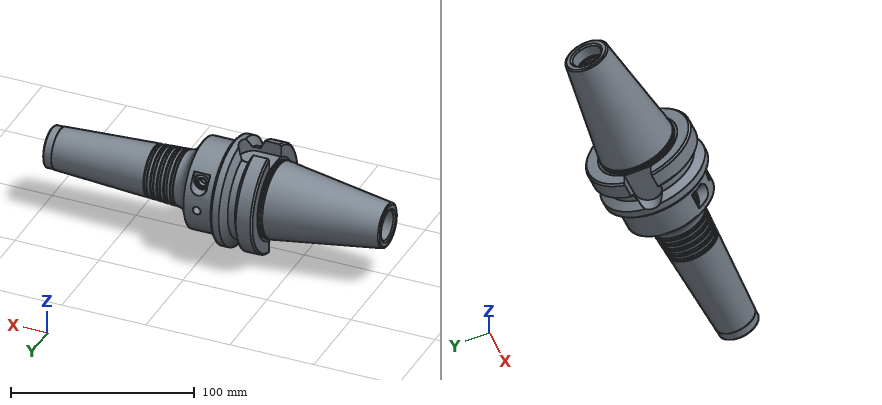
import cadquery as cq
import math

total_length = 200.5
gauge_x = 65.3
flange_front_x = 67.3
flange_back_x = 92.5
body_end_x = 110.2
shoulder_end_x = 114.2
nose_start_x = 120.6
tip_start_x = 195.2

flange_dia = 63.0
body_dia = 52.5
gauge_dia = 44.5
neck_dia = 43.5
tip_dia = 24.0
bore_dia = 5.0

taper_per_length = 7 / 24
taper_end_chamfer = 0.6
taper_end_chamfer_height = 1.0
taper_end_dia = gauge_dia - taper_per_length * (gauge_x - taper_end_chamfer)

relief_end_x = 66.5
face_recess_dia = 47.5
face_recess_depth = 0.2

flange_front_chamfer = 1.0
vee_start_x = 76.8
vee_end_x = 87.0
vee_half_angle = math.radians(30)
vee_run = (flange_dia - body_dia) / 2 * math.tan(vee_half_angle)
flange_back_chamfer = 1.5
body_fillet = 2.8

nose_angle = math.radians(3)
tip_chamfer = 0.6
nose_tip_radius = 12.2
nose_root_radius = nose_tip_radius + (tip_start_x - nose_start_x) * math.tan(nose_angle)
shoulder_end_radius = 19.8

groove_count = 5
groove_pitch = 4.0
first_groove_x = 122.0
groove_width = 2.2
groove_floor_width = 1.2
groove_depth = 0.5

socket_mouth_dia = 19.0
socket_mouth_chamfer = 0.8
pilot_dia = 17.0
pilot_depth = 7.5
thread_dia = 16.0
thread_core_dia = 14.0
thread_start_x = 8.6
thread_lead_in = 0.6
thread_end_x = 32.0
drill_half_angle = math.radians(59)

slot_width = 16.0
slot_floor_z = 22.6
slot_centre_x = 80.4

pocket_x = 102.5
pocket_z = -12.6
pocket_width = 9.6
pocket_floor_y = -18.6
screw_dia = 9.0
screw_face_dia = 5.8
screw_dome_height = 1.6
socket_dia = 4.6
socket_depth = 3.0
side_hole_dia = 4.6
side_hole_z = 1.5
side_hole_depth = 5.0
side_hole_tilt = 25.0


def make_body():
    """Revolve the outer profile about the X axis."""
    flange_radius = flange_dia / 2
    body_radius = body_dia / 2
    tip_radius = tip_dia / 2
    recess_floor_x = flange_front_x + face_recess_depth
    taper_end_radius = taper_end_dia / 2
    fillet_middle = body_fillet * (1 - math.sin(math.radians(45)))
    profile = (
        cq.Workplane("XY")
        .moveTo(0, 0)
        .lineTo(0, taper_end_radius - taper_end_chamfer_height)
        .lineTo(taper_end_chamfer, taper_end_radius)
        .lineTo(gauge_x, gauge_dia / 2)
        .lineTo(gauge_x, neck_dia / 2)
        .lineTo(relief_end_x, neck_dia / 2)
        .lineTo(relief_end_x, gauge_dia / 2)
        .lineTo(recess_floor_x, gauge_dia / 2)
        .lineTo(recess_floor_x, face_recess_dia / 2)
        .lineTo(flange_front_x, face_recess_dia / 2)
        .lineTo(flange_front_x, flange_radius - flange_front_chamfer)
        .lineTo(flange_front_x + flange_front_chamfer, flange_radius)
        .lineTo(vee_start_x, flange_radius)
        .lineTo(vee_start_x + vee_run, body_radius)
        .lineTo(vee_end_x - vee_run, body_radius)
        .lineTo(vee_end_x, flange_radius)
        .lineTo(flange_back_x - flange_back_chamfer, flange_radius)
        .lineTo(flange_back_x, flange_radius - flange_back_chamfer)
        .lineTo(flange_back_x, body_radius + body_fillet)
        .threePointArc(
            (flange_back_x + fillet_middle, body_radius + fillet_middle),
            (flange_back_x + body_fillet, body_radius),
        )
        .lineTo(body_end_x, body_radius)
        .lineTo(shoulder_end_x, shoulder_end_radius)
        .tangentArcPoint((nose_start_x, nose_root_radius), relative=False)
        .lineTo(tip_start_x, nose_tip_radius)
        .lineTo(tip_start_x, tip_radius)
        .lineTo(total_length - tip_chamfer, tip_radius)
        .lineTo(total_length, tip_radius - tip_chamfer)
        .lineTo(total_length, 0)
        .close()
    )
    return profile.revolve(360, (0, 0, 0), (1, 0, 0))


def make_ring_groove(x):
    """Shallow groove with sloped walls, sunk below the nose cone at x."""
    surface_radius = nose_root_radius - (x - nose_start_x) * math.tan(nose_angle)
    floor_radius = surface_radius - groove_depth
    rim_radius = surface_radius + groove_depth
    rim_half = groove_width - groove_floor_width / 2
    floor_half = groove_floor_width / 2
    return (
        cq.Workplane("XY")
        .polyline([
            (x - floor_half, floor_radius),
            (x + floor_half, floor_radius),
            (x + rim_half, rim_radius),
            (x - rim_half, rim_radius),
        ])
        .close()
        .revolve(360, (0, 0, 0), (1, 0, 0))
    )


def make_axial_bore():
    """Pilot, thread core with a drill-point end, and the through bore."""
    core_radius = thread_core_dia / 2
    bore_radius = bore_dia / 2
    point_length = (core_radius - bore_radius) / math.tan(drill_half_angle)
    lead_in_x = thread_start_x + thread_lead_in
    return (
        cq.Workplane("XY")
        .moveTo(0, 0)
        .lineTo(0, socket_mouth_dia / 2)
        .lineTo(socket_mouth_chamfer, pilot_dia / 2)
        .lineTo(pilot_depth, pilot_dia / 2)
        .lineTo(pilot_depth, thread_dia / 2)
        .lineTo(thread_start_x, thread_dia / 2)
        .lineTo(lead_in_x, core_radius)
        .lineTo(thread_end_x, core_radius)
        .lineTo(thread_end_x + point_length, bore_radius)
        .lineTo(total_length, bore_radius)
        .lineTo(total_length, 0)
        .close()
        .revolve(360, (0, 0, 0), (1, 0, 0))
    )


def make_drive_slot():
    """Round-ended slot open toward the taper, above the slot floor."""
    height = flange_dia / 2
    straight = (
        cq.Workplane("XY")
        .box(slot_centre_x - gauge_x, slot_width, height, centered=(False, True, False))
        .translate((gauge_x, 0, slot_floor_z))
    )
    end_plane = cq.Workplane("XY", origin=(slot_centre_x, 0, slot_floor_z))
    round_end = end_plane.circle(slot_width / 2).extrude(height)
    return straight.union(round_end)


def make_screw_pocket():
    """U-shaped pocket facing -Y with a sunken, domed socket screw in its floor."""
    outside = body_dia / 2
    front_plane = cq.Workplane("XZ", origin=(pocket_x, pocket_floor_y, pocket_z))
    reach = outside + pocket_floor_y
    pocket = front_plane.circle(pocket_width / 2).extrude(reach)
    pocket = pocket.union(
        cq.Workplane("XY")
        .box(pocket_width, reach, outside + pocket_z, centered=(True, False, False))
        .translate((pocket_x, -outside, -outside))
    )
    face_radius = screw_face_dia / 2
    socket_radius = socket_dia / 2
    point_length = socket_radius / math.tan(drill_half_angle)
    screw_recess = (
        cq.Workplane("XY", origin=(pocket_x, pocket_floor_y, pocket_z))
        .moveTo(0, 0)
        .lineTo(screw_dia / 2, 0)
        .lineTo(screw_dia / 2, screw_dome_height)
        .lineTo(face_radius, 0)
        .lineTo(socket_radius, 0)
        .lineTo(socket_radius, socket_depth)
        .lineTo(0, socket_depth + point_length)
        .close()
        .revolve(360, (0, 0, 0), (0, 1, 0))
    )
    return pocket.union(screw_recess)


def make_side_hole():
    """Small blind hole with a drill point, entering from -Y and sloping down inward."""
    radius = side_hole_dia / 2
    point_length = radius / math.tan(drill_half_angle)
    hole = (
        cq.Workplane("XY")
        .moveTo(0, -side_hole_depth)
        .lineTo(radius, -side_hole_depth)
        .lineTo(radius, side_hole_depth)
        .lineTo(0, side_hole_depth + point_length)
        .close()
        .revolve(360, (0, 0, 0), (0, 1, 0))
    )
    entry = (pocket_x, -body_dia / 2, side_hole_z)
    return hole.rotate((0, 0, 0), (1, 0, 0), -side_hole_tilt).translate(entry)


result = make_body().cut(make_axial_bore())

for index in range(groove_count):
    result = result.cut(make_ring_groove(first_groove_x + index * groove_pitch))

for feature in (make_drive_slot(), make_screw_pocket(), make_side_hole()):
    result = result.cut(feature).cut(feature.rotate((0, 0, 0), (1, 0, 0), 180))